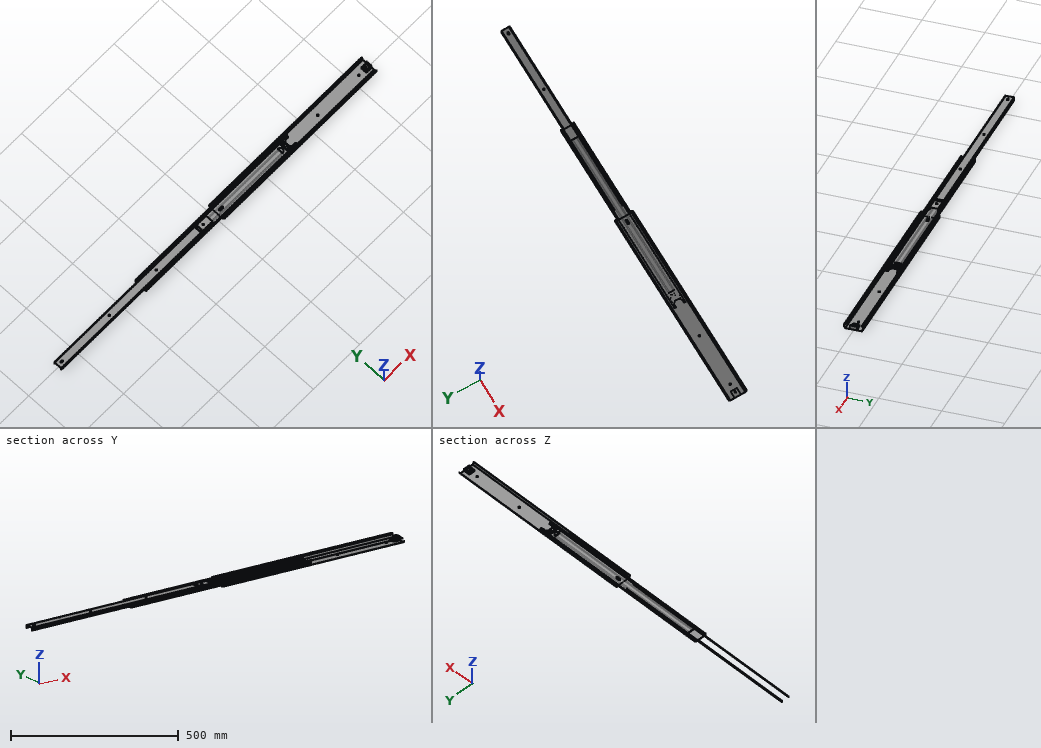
import cadquery as cq
import math


total_length = 1346.74
outer_length = 660.0
outer_start = total_length - outer_length
inner_start = 0.0
inner_end = 655.0
middle_start = 358.5
middle_end = 1012.0

sheet = 1.5
outer_half_width = 31.5
outer_height = 16.0
outer_web_half = 26.3
outer_toe_half = 28.2
outer_toe_height = 3.0
outer_widest_height = 8.0
outer_shoulder_half = 31.2
outer_shoulder_height = 10.8
outer_fold_half = 30.3
outer_fold_height = 13.5
outer_crest_half = 27.0
outer_lip_half = 23.9
outer_lip_drop = 1.0
middle_half_width = 22.5
middle_bottom = 2.0
middle_top = 15.0
middle_web_half = 19.0
race_low = 6.5
race_high = 11.5
middle_race_depth = 1.6
inner_race_depth = 1.0
inner_half_width = 15.0
inner_bottom = 5.0
inner_top = 15.0
inner_web_half = 13.5

screw_hole = 5.0
inner_hole_xs = (223.0, 426.0, 629.0)
inner_slot_x = 17.5
inner_slot_length = 9.0
access_slot_x = 706.0
access_slot_length = 16.0
access_slot_width = 6.0
outer_hole_xs = (access_slot_x, 1124.0, 1302.0)

lip_relief_length = 5.0
lip_relief_floor = 12.0

rib_start = 400.0
rib_end = 962.0
rib_base_half = 10.0
rib_crest_half = 6.0
rib_rise = 1.2
rib_nose_rise = 2.4

mouth_half_width = 14.0
mouth_depth = 19.5
mouth_corner = 7.5

latch_start = 977.4
latch_end = 992.4
latch_half_width = 16.0
latch_height = 4.5
latch_dish_radius = 4.3
latch_dish_depth = 1.2
latch_chamfer = 2.5
latch_boss_length = 10.0
latch_boss_width = 20.0
latch_boss_rise = 1.5

strap_start = 605.5
strap_end = 613.5
strap_half_width = 12.5
strap_thickness = 3.0
valley_floor_half = 4.5
valley_depth = 2.0

bumper_start = 1323.0
bumper_half_width = 11.0
bumper_base_height = 5.0
bumper_step_start = 1325.0
bumper_step_half_width = 7.0
bumper_step_height = 9.0
bumper_wall = 6.0
bumper_top = 13.0
bumper_window_length = 7.0
bumper_window_width = 4.0
bumper_window_x = 1331.0

cage_length = 243.0
cage_thickness = 1.0
outer_cage_start = 694.0
outer_cage_y = 25.0
outer_cage_bottom = 8.5
outer_cage_top = 13.0
inner_cage_start = 362.0
inner_cage_y = 16.6
inner_cage_bottom = 6.0
inner_cage_top = 12.0


def box(x0, x1, y0, y1, z0, z1):
    return cq.Workplane("XY").box(x1 - x0, y1 - y0, z1 - z0, centered=False).translate((x0, y0, z0))


def peg(x, z0, z1, diameter=screw_hole):
    return cq.Workplane("XY", origin=(x, 0, z0)).circle(diameter / 2).extrude(z1 - z0)


def slot(x, z0, z1, length, width):
    return cq.Workplane("XY", origin=(x, 0, z0)).slot2D(length, width).extrude(z1 - z0)


def section(x0):
    """Sketch plane across the slide: local x is +Y, local y is +Z, extruding along +X."""
    return cq.Workplane("YZ", origin=(x0, 0, 0))


def outer_envelope(inset):
    """Outer rail outline with bevelled lower sides, bowed upper sides and sloping lips."""
    widest = outer_half_width - inset
    toe = (outer_toe_half - inset, outer_toe_height)
    slant = inset * math.sqrt(0.5)
    shoulder = (outer_shoulder_half - inset, outer_shoulder_height)
    fold = (outer_fold_half - slant, outer_fold_height - slant)
    crest = (outer_crest_half, outer_height - inset)
    lip = (outer_lip_half, outer_height - outer_lip_drop - inset)
    web = outer_web_half - inset / 2
    return (
        section(outer_start)
        .moveTo(0, inset)
        .lineTo(web, inset)
        .lineTo(*toe)
        .lineTo(widest, outer_widest_height)
        .threePointArc(shoulder, fold)
        .lineTo(*crest)
        .lineTo(*lip)
        .lineTo(0, lip[1])
        .mirrorY()
        .extrude(outer_length)
    )


def make_outer_rail():
    rail = outer_envelope(0).cut(outer_envelope(sheet))
    rail = rail.cut(
        box(
            outer_start,
            total_length,
            -outer_lip_half,
            outer_lip_half,
            outer_widest_height,
            outer_height,
        )
    )
    rail = rail.cut(
        box(
            total_length - lip_relief_length,
            total_length,
            -outer_half_width,
            outer_half_width,
            lip_relief_floor,
            outer_height,
        )
    )
    for x in outer_hole_xs:
        rail = rail.cut(peg(x, 0, sheet))
    return rail


def raced_profile(x0, length, half, race_depth, points_below, points_above):
    """Symmetric bar whose sides carry a concave ball race between two corner runs."""
    race_mid = (race_low + race_high) / 2
    start = points_below[0]
    end = points_above[-1]
    profile = section(x0).moveTo(0, start[1])
    for point in points_below:
        profile = profile.lineTo(*point)
    profile = profile.lineTo(half, race_low).threePointArc((half - race_depth, race_mid), (half, race_high))
    for point in points_above:
        profile = profile.lineTo(*point)
    return profile.lineTo(0, end[1]).mirrorY().extrude(length)


def middle_envelope(inset):
    """Middle rail outline with its web at the bottom, shrunk inward by the inset."""
    half = middle_half_width - inset
    bevel_top = race_low - (middle_half_width - middle_web_half) / 2
    below = [(middle_web_half - inset, middle_bottom + inset), (half, bevel_top)]
    above = [(half, middle_top)]
    return raced_profile(middle_start, middle_end - middle_start, half, middle_race_depth, below, above)


def inner_envelope(inset):
    """Inner rail outline with its web at the top, shrunk inward by the inset."""
    half = inner_half_width - inset
    bevel_bottom = inner_top - (inner_half_width - inner_web_half)
    below = [(half, inner_bottom)]
    above = [(half, bevel_bottom), (inner_web_half - inset, inner_top - inset)]
    return raced_profile(inner_start, inner_end - inner_start, half, inner_race_depth, below, above)


def rib_prism(z0):
    """Trapezoidal bar standing on height z0, as wide as the pressed rib."""
    return (
        section(rib_start)
        .polyline(
            [
                (-rib_base_half, z0),
                (rib_base_half, z0),
                (rib_crest_half, z0 + rib_rise),
                (-rib_crest_half, z0 + rib_rise),
            ]
        )
        .close()
        .extrude(rib_end - rib_start)
    )


def make_middle_rail():
    rail = middle_envelope(0).cut(middle_envelope(sheet))
    web_top = middle_bottom + sheet
    rail = rail.union(rib_prism(web_top)).cut(rib_prism(middle_bottom))
    nose_top = web_top + rib_nose_rise
    nose_disc = peg(rib_end, web_top, nose_top, 2 * rib_base_half)
    front_half = box(
        rib_end, rib_end + rib_base_half, -rib_base_half, rib_base_half, web_top, nose_top
    )
    nose = nose_disc.intersect(front_half)
    rail = rail.union(nose)
    rail = rail.cut(
        slot(access_slot_x, middle_bottom, web_top + rib_rise, access_slot_length, access_slot_width)
    )
    mouth = box(
        middle_end - mouth_depth,
        middle_end,
        -mouth_half_width,
        mouth_half_width,
        middle_bottom,
        web_top,
    )
    mouth = mouth.edges("|Z and <X").chamfer(mouth_corner)
    return rail.cut(mouth)


def make_inner_rail():
    rail = inner_envelope(0).cut(inner_envelope(sheet))
    web_bottom = inner_top - sheet
    for x in inner_hole_xs:
        rail = rail.cut(peg(x, web_bottom, inner_top))
    rail = rail.cut(slot(inner_slot_x, web_bottom, inner_top, inner_slot_length, screw_hole))
    return rail.cut(
        box(strap_start, strap_end, -strap_half_width, strap_half_width, web_bottom, inner_top)
    )


def make_strap():
    bottom = inner_top - strap_thickness
    valley_floor = inner_top - valley_depth
    valley_top_half = valley_floor_half + valley_depth
    return (
        section(strap_start)
        .polyline(
            [
                (-strap_half_width, bottom),
                (strap_half_width, bottom),
                (strap_half_width, inner_top),
                (valley_top_half, inner_top),
                (valley_floor_half, valley_floor),
                (-valley_floor_half, valley_floor),
                (-valley_top_half, inner_top),
                (-strap_half_width, inner_top),
            ]
        )
        .close()
        .extrude(strap_end - strap_start)
    )


def make_latch():
    base = middle_bottom + sheet
    top = base + latch_height
    plate = box(latch_start, latch_end, -latch_half_width, latch_half_width, base, top)
    plate = plate.faces(">Z").chamfer(latch_chamfer)
    boss_top = top + latch_boss_rise
    centre_x = (latch_start + latch_end) / 2
    boss = box(
        centre_x - latch_boss_length / 2,
        centre_x + latch_boss_length / 2,
        -latch_boss_width / 2,
        latch_boss_width / 2,
        base,
        boss_top,
    )
    sphere_radius = (latch_dish_radius**2 + latch_dish_depth**2) / (2 * latch_dish_depth)
    dish = cq.Workplane("XY").sphere(sphere_radius)
    dish = dish.translate((centre_x, 0, boss_top + sphere_radius - latch_dish_depth))
    return plate.union(boss).cut(dish)


def make_rear_bumper():
    half = bumper_half_width
    base = box(bumper_start, total_length, -half, half, sheet, bumper_base_height)
    wall = box(total_length - bumper_wall, total_length, -half, half, sheet, bumper_top)
    step_half = bumper_step_half_width
    step = box(bumper_step_start, total_length, -step_half, step_half, sheet, bumper_step_height)
    window = slot(bumper_window_x, sheet, bumper_step_height, bumper_window_length, bumper_window_width)
    return base.union(step).union(wall).cut(window)


def make_cage(x0, side, y, z0, z1):
    """Flat ball-cage strip on one side of the slide (side is +1 or -1)."""
    faces = sorted((side * y, side * (y + cage_thickness)))
    return box(x0, x0 + cage_length, faces[0], faces[1], z0, z1)


outer_rail = make_outer_rail()
middle_rail = make_middle_rail()
inner_rail = make_inner_rail()
strap = make_strap()
latch = make_latch()
rear_bumper = make_rear_bumper()
cages = []
for side in (1, -1):
    cages.append(make_cage(outer_cage_start, side, outer_cage_y, outer_cage_bottom, outer_cage_top))
    cages.append(make_cage(inner_cage_start, side, inner_cage_y, inner_cage_bottom, inner_cage_top))

result = cq.Compound.makeCompound(
    [
        outer_rail.val(),
        middle_rail.val(),
        inner_rail.val(),
        strap.val(),
        latch.val(),
        rear_bumper.val(),
        *[cage.val() for cage in cages],
    ]
)